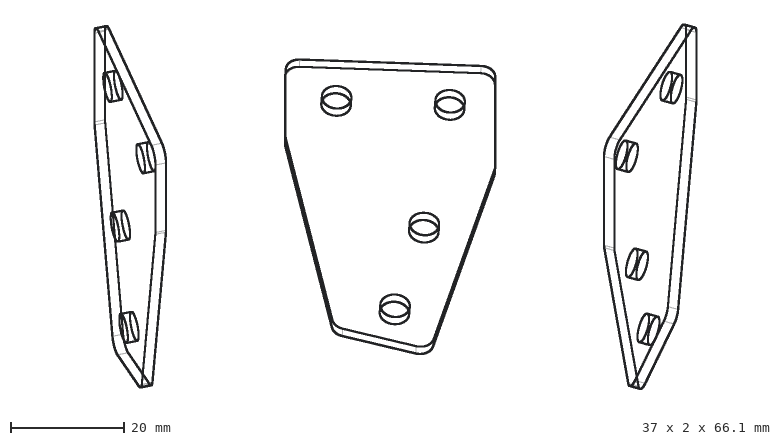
import cadquery as cq
import math

width = 37.0
height = 66.1
thickness = 2.0
corner_radius = 2.5

hole_diameter = 5.2
hole_pitch = 20.0
upper_hole_from_left = 8.0
upper_hole_from_top = 8.5
tip_hole_from_left = 17.7

tilt = math.radians(15)
tip_edge_distance = 8.0
side_edge_distance = 8.5
tip_corner_offset = 9.0
right_bend_from_top = 18.5

tip_hole_x = tip_hole_from_left
tip_hole_z = (
    corner_radius
    + (tip_edge_distance - corner_radius) * math.cos(tilt)
    + (side_edge_distance - corner_radius) * math.sin(tilt)
)


def arm_point(across, along):
    """Point measured from the tip hole, across the arm (right) and along it (up)."""
    x = tip_hole_x + across * math.cos(tilt) - along * math.sin(tilt)
    z = tip_hole_z + across * math.sin(tilt) + along * math.cos(tilt)
    return (x, z)


left_tip = arm_point(-side_edge_distance, -tip_edge_distance)
right_tip = arm_point(tip_corner_offset, -tip_edge_distance)
left_bend = (0, left_tip[1] + left_tip[0] / math.tan(tilt))
right_bend = (width, height - right_bend_from_top)

outline = [
    (0, height),
    (width, height),
    right_bend,
    right_tip,
    left_tip,
    left_bend,
]

upper_hole_z = height - upper_hole_from_top
hole_centers = [
    (upper_hole_from_left, upper_hole_z),
    (upper_hole_from_left + hole_pitch, upper_hole_z),
    arm_point(0, hole_pitch),
    arm_point(0, 0),
]

plate = cq.Workplane("XZ").polyline(outline).close().extrude(thickness)
plate = plate.edges("|Y").fillet(corner_radius)

holes = (
    cq.Workplane("XZ")
    .pushPoints(hole_centers)
    .circle(hole_diameter / 2)
    .extrude(thickness)
)

result = plate.cut(holes)